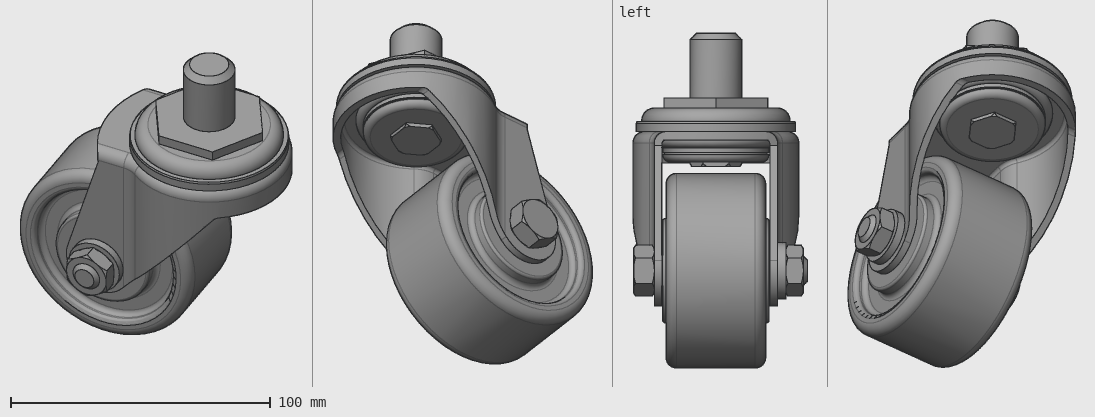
import cadquery as cq
import math


wheel_offset = 36.0
axle_x = -wheel_offset
plate_top = 53.5
stem_top = 91.5

leg_thickness = 3.0
plate_thickness = 3.2
leg_outer_half = 23.7
skirt_radius = 32.0
skirt_bottom = 41.4
leg_blend_radius = 9.7
lip_radius = 43.1
bend_radius = 4.4
inner_bend_radius = bend_radius - leg_thickness
leg_shoulder = plate_top - 5.3
leg_tip_radius = 13.7
skirt_cut_angle = 50
skirt_corner_radius = 3.0

stem_radius = 10.0
stem_chamfer = 2.5
hex_flats = 40
hex_height = 3.9
cap_disc_radius = 30.7
cap_disc_height = 4.0
cap_bevel = 0.3
cap_bevel_height = 0.8
cap_dome_radius = 28.6
cap_dome_height = 5.2
cap_dome_fillet = 5.0
race_flange_radius = 23.2
race_flange_height = 3.0
race_flange_fillet = 2.7
race_radius = 20.4
race_neck_height = 1.8
race_groove_depth = 0.6
race_groove_height = 0.8
race_dome_height = 3.0
race_dome_fillet = 2.7
rivet_corners = 2 * stem_radius
rivet_drop = 1.7
rivet_bevel = 0.6
rivet_bevel_height = 1.2

wheel_radius = 37.5
wheel_half_width = 19.2
tread_fillet = 4.1
rim_inner_radius = 29.5
rim_fillet = 1.9
hub_radius = 20.1
hub_half_width = 20.5
hub_edge_fillet = 1.0
recess_floor = 14.5
recess_fillet = 2.0

axle_radius = 6.0
axle_end_y = -35.3
axle_chamfer = 1.9
bolt_flats = 17.0
bolt_head_height = 8.0
nut_height = 6.7
corner_chamfer = 1.3
corner_chamfer_length = 0.8
washer_radius = 10.8
washer_thickness = 3.2


def z_disc(radius, bottom, height):
    return cq.Workplane("XY", origin=(0, 0, bottom)).circle(radius).extrude(height)


def y_cylinder(radius, start_y, end_y):
    """Cylinder on the wheel axis from start_y towards -Y, ending at end_y."""
    return cq.Workplane("XZ", origin=(axle_x, start_y, 0)).circle(radius).extrude(start_y - end_y)


def fork_block(inset, top):
    """Solid under the fork plan outline, moved inward by inset, up to the given height."""
    half = leg_outer_half - inset
    radius = skirt_radius - inset
    blend = leg_blend_radius + inset
    centre_y = half + blend
    centre_x = -math.sqrt((radius + blend) ** 2 - centre_y ** 2)
    tangent_scale = radius / (radius + blend)
    tangent_x = centre_x * tangent_scale
    tangent_y = centre_y * tangent_scale
    start_angle = -math.pi / 2
    end_angle = math.atan2(-centre_y, -centre_x)
    middle_angle = (start_angle + end_angle) / 2
    middle_x = centre_x + blend * math.cos(middle_angle)
    middle_y = centre_y + blend * math.sin(middle_angle)
    front_x = axle_x - 2 * leg_tip_radius
    bottom = -2 * leg_tip_radius
    return (
        cq.Workplane("XY", origin=(0, 0, bottom))
        .moveTo(front_x, half)
        .lineTo(centre_x, half)
        .threePointArc((middle_x, middle_y), (tangent_x, tangent_y))
        .threePointArc((radius, 0), (tangent_x, -tangent_y))
        .threePointArc((middle_x, -middle_y), (centre_x, -half))
        .lineTo(front_x, -half)
        .close()
        .extrude(top - bottom)
    )


def fork_side_profile():
    """Side outline of the fork, extruded across its whole width."""
    cut = math.radians(skirt_cut_angle)
    tip_x = axle_x + leg_tip_radius * math.sin(cut)
    tip_z = -leg_tip_radius * math.cos(cut)
    skirt_corner_x = tip_x + (skirt_bottom - tip_z) / math.tan(cut)
    shoulder_x = -math.sqrt(lip_radius ** 2 - leg_outer_half ** 2)
    lean = math.asin(leg_tip_radius / leg_shoulder)
    front_x = axle_x - leg_tip_radius * math.cos(lean)
    front_z = leg_tip_radius * math.sin(lean)
    profile = (
        cq.Workplane("XZ")
        .moveTo(front_x, front_z)
        .lineTo(shoulder_x, leg_shoulder)
        .lineTo(-lip_radius, leg_shoulder)
        .lineTo(-lip_radius, plate_top)
        .lineTo(skirt_radius, plate_top)
        .lineTo(skirt_radius, skirt_bottom)
        .lineTo(skirt_corner_x, skirt_bottom)
        .lineTo(tip_x, tip_z)
        .threePointArc((axle_x, -leg_tip_radius), (front_x, front_z))
        .close()
        .extrude(skirt_radius, both=True)
    )
    corner = cq.selectors.NearestToPointSelector((skirt_corner_x, 0, skirt_bottom))
    return profile.edges("|Y").edges(corner).fillet(skirt_corner_radius)


def lip_clearance():
    """Space in front of the rounded lip, above the leg shoulders."""
    height = plate_top - leg_shoulder
    length = 4 * lip_radius
    width = 2 * lip_radius
    space = cq.Workplane("XY", origin=(0, 0, leg_shoulder)).rect(length, width).extrude(height)
    return space.cut(z_disc(lip_radius, leg_shoulder, height))


def make_fork():
    outer = fork_block(0, plate_top).faces(">Z").edges("not(<X)").fillet(bend_radius)
    inner = fork_block(leg_thickness, plate_top - plate_thickness)
    inner = inner.faces(">Z").edges("not(<X)").fillet(inner_bend_radius)
    fork = outer.cut(inner).intersect(fork_side_profile()).cut(lip_clearance())
    stem_hole = z_disc(stem_radius, 0, plate_top)
    axle_hole = y_cylinder(axle_radius, skirt_radius, -skirt_radius)
    return fork.cut(stem_hole).cut(axle_hole)


def make_cap():
    """Flat disc, rounded dome and hexagon that sit on the fork plate."""
    dome_bottom = plate_top + cap_disc_height
    hex_bottom = dome_bottom + cap_dome_height
    hex_corners = hex_flats / math.cos(math.pi / 6)
    disc = z_disc(cap_disc_radius, plate_top, cap_disc_height)
    disc = disc.faces(">Z").chamfer(cap_bevel_height, cap_bevel)
    dome = z_disc(cap_dome_radius, dome_bottom, cap_dome_height).faces(">Z").edges().fillet(cap_dome_fillet)
    hexagon = cq.Workplane("XY", origin=(0, 0, hex_bottom)).polygon(6, hex_corners).extrude(hex_height)
    return disc.union(dome).union(hexagon)


def make_head():
    flange_bottom = plate_top - plate_thickness - race_flange_height
    neck_bottom = flange_bottom - race_neck_height
    groove_bottom = neck_bottom - race_groove_height
    race_bottom = groove_bottom - race_dome_height
    rivet_bottom = race_bottom - rivet_drop

    stem = z_disc(stem_radius, race_bottom, stem_top - race_bottom).faces(">Z").chamfer(stem_chamfer)
    flange = z_disc(race_flange_radius, flange_bottom, race_flange_height)
    flange = flange.faces("<Z").edges().fillet(race_flange_fillet)
    neck = z_disc(race_radius, neck_bottom, race_neck_height)
    groove = z_disc(race_radius - race_groove_depth, groove_bottom, race_groove_height)
    dome = z_disc(race_radius, race_bottom, race_dome_height).faces("<Z").edges().fillet(race_dome_fillet)

    rivet_plane = cq.Workplane("XY", origin=(0, 0, rivet_bottom)).transformed(rotate=(0, 0, 90))
    rivet = rivet_plane.polygon(6, rivet_corners).extrude(rivet_drop)
    rivet_trim = z_disc(rivet_corners / 2, rivet_bottom, rivet_drop).faces("<Z")
    rivet = rivet.intersect(rivet_trim.chamfer(rivet_bevel_height, rivet_bevel))
    return stem.union(make_cap()).union(flange).union(neck).union(groove).union(dome).union(rivet)


def y_hexagon(flats, start_y, end_y):
    """Hexagonal bar on the wheel axis, with two corners straight above and below the axis."""
    corners = flats / math.cos(math.pi / 6)
    plane = cq.Workplane("XZ", origin=(axle_x, start_y, 0)).transformed(rotate=(0, 0, 90))
    bar = plane.polygon(6, corners).extrude(start_y - end_y)
    corner_trim = y_cylinder(corners / 2, start_y, end_y).edges()
    return bar.intersect(corner_trim.chamfer(corner_chamfer_length, corner_chamfer))


def wheel_recess():
    """Ring-shaped recess of the -Y side, with a flared mouth and a rounded floor edge."""
    mouth_radius = rim_inner_radius + rim_fillet
    flare_start = -wheel_half_width + rim_fillet
    rim_wall = y_cylinder(rim_inner_radius, -recess_floor, -wheel_half_width)
    floor_ring = rim_wall.cut(y_cylinder(hub_radius, -recess_floor, -wheel_half_width))
    floor_ring = floor_ring.faces(">Y").edges().fillet(recess_fillet)
    mouth = y_cylinder(mouth_radius, flare_start, -wheel_half_width)
    mouth = mouth.cut(y_cylinder(rim_inner_radius, flare_start, -wheel_half_width))
    rounding = cq.Solid.makeTorus(
        mouth_radius, rim_fillet, cq.Vector(axle_x, flare_start, 0), cq.Vector(0, 1, 0)
    )
    return floor_ring.union(mouth.cut(cq.Workplane(rounding)))


def make_wheel():
    tread = y_cylinder(wheel_radius, wheel_half_width, -wheel_half_width).edges().fillet(tread_fillet)
    hub = y_cylinder(hub_radius, hub_half_width, -hub_half_width).edges().fillet(hub_edge_fillet)
    bore = y_cylinder(axle_radius, hub_half_width, -hub_half_width)
    recess = wheel_recess()
    return tread.cut(recess).cut(recess.mirror("XZ")).union(hub).cut(bore)


def make_axle():
    head_end = leg_outer_half + bolt_head_height
    washer_end = -leg_outer_half - washer_thickness
    nut_end = washer_end - nut_height
    shank = y_cylinder(axle_radius, head_end, axle_end_y).faces("<Y").chamfer(axle_chamfer)
    head = y_hexagon(bolt_flats, head_end, leg_outer_half)
    washer = y_cylinder(washer_radius, -leg_outer_half, washer_end)
    nut = y_hexagon(bolt_flats, washer_end, nut_end)
    return shank.union(head).union(washer).union(nut)


head = make_head()
fork = make_fork()
wheel = make_wheel()
axle = make_axle()

result = cq.Compound.makeCompound([head.val(), fork.val(), wheel.val(), axle.val()])